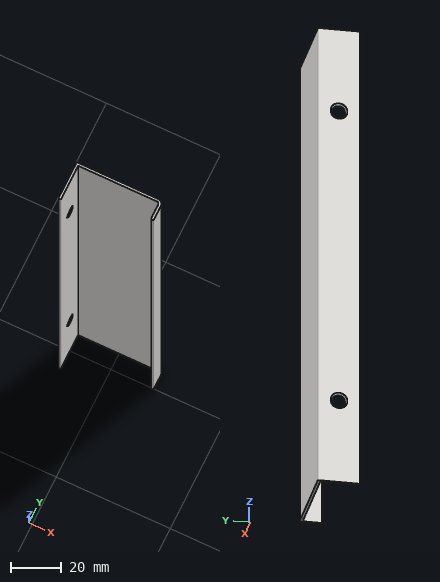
import cadquery as cq

length = 200.0
width = 38.0
long_leg = 17.0
short_leg = 9.0
thickness = 1.2

inner_bend_radius = 1.0
outer_bend_radius = inner_bend_radius + thickness

edge_radius = 0.5

hole_diameter = 5.2
countersink_diameter = 6.8
countersink_angle = 90.0
hole_end_distance = 36.0
hole_spacing = length - 2 * hole_end_distance


def round_edge(body, corner, radius):
    """Fillet the lengthwise edge that passes through an XY corner."""
    return body.edges("|Z").edges(cq.NearestToPointSelector((*corner, 0))).fillet(radius)


def make_channel():
    """Unequal channel along Z, with its web on the +Y side."""
    left, right = -width / 2, width / 2
    front, back = -long_leg / 2, long_leg / 2
    outline = [
        (left, front),
        (left, back),
        (right, back),
        (right, back - short_leg),
        (right - thickness, back - short_leg),
        (right - thickness, back - thickness),
        (left + thickness, back - thickness),
        (left + thickness, front),
    ]
    channel = cq.Workplane("XY").polyline(outline).close().extrude(length)
    channel = channel.translate((0, 0, -length / 2))
    inside_bend = (right - thickness, back - thickness)
    channel = round_edge(channel, (right, back), outer_bend_radius)
    channel = round_edge(channel, inside_bend, inner_bend_radius)
    small_round_corners = [
        (left, back),
        (left, front),
        (left + thickness, front),
        (right, back - short_leg),
        (right - thickness, back - short_leg),
    ]
    for corner in small_round_corners:
        channel = round_edge(channel, corner, edge_radius)
    return channel


def add_holes(channel):
    """Countersink two holes through the long leg, halfway across it."""
    for z in (-hole_spacing / 2, hole_spacing / 2):
        channel = (
            channel.faces("<X")
            .workplane(origin=(-width / 2, 0, z))
            .cskHole(hole_diameter, countersink_diameter, countersink_angle, depth=2 * thickness)
        )
    return channel


result = add_holes(make_channel())